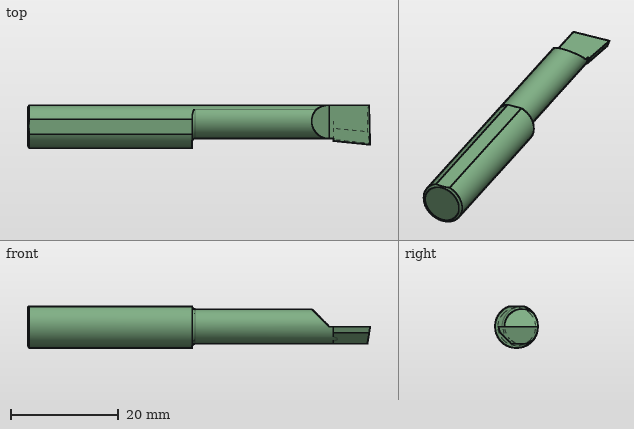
import cadquery as cq
import math

LENGTH = 63.5

SHANK_RADIUS = 4.0
SHANK_LENGTH = 30.5
FLAT_HEIGHT = 3.75
REAR_CHAMFER_LENGTH = 0.3
REAR_CHAMFER_DEPTH = 0.5

NECK_RADIUS = 3.25
NECK_OFFSET = 1.0
ROOT_FILLET = 0.5

BEVEL_END = 55.9
EDGE_START = 56.65
EDGE_START_Y = -2.65
TIP_Y = -3.35
FRONT_SLANT = 0.2
CLEARANCE_DEPTH = 1.15
CLEARANCE_SETBACK = 0.3
END_RELIEF_ANGLE = 8.0

BEVEL_RISE = NECK_RADIUS + ROOT_FILLET


def rod(radius, start, length, offset=0.0):
    """Round bar along +X with its axis shifted along Y."""
    return cq.Workplane("YZ", origin=(start, offset, 0)).circle(radius).extrude(length)


def make_shank():
    profile = (
        cq.Workplane("XY")
        .moveTo(0, 0)
        .lineTo(0, SHANK_RADIUS - REAR_CHAMFER_DEPTH)
        .lineTo(REAR_CHAMFER_LENGTH, SHANK_RADIUS)
        .lineTo(SHANK_LENGTH, SHANK_RADIUS)
        .lineTo(SHANK_LENGTH, 0)
        .close()
    )
    shank = profile.revolve(360, (0, 0, 0), (1, 0, 0))
    above_flat = cq.Workplane("XY", origin=(SHANK_LENGTH / 2, 0, FLAT_HEIGHT)).box(
        SHANK_LENGTH, 2 * SHANK_RADIUS, SHANK_RADIUS, centered=(True, True, False)
    )
    return shank.cut(above_flat)


def make_neck():
    """Eccentric neck with a concave root fillet, running to the tip."""
    arc_inset = ROOT_FILLET * (1 - math.sqrt(0.5))
    profile = (
        cq.Workplane("XY", origin=(SHANK_LENGTH, NECK_OFFSET, 0))
        .moveTo(0, 0)
        .lineTo(0, NECK_RADIUS + ROOT_FILLET)
        .threePointArc((arc_inset, NECK_RADIUS + arc_inset), (ROOT_FILLET, NECK_RADIUS))
        .lineTo(LENGTH - SHANK_LENGTH, NECK_RADIUS)
        .lineTo(LENGTH - SHANK_LENGTH, 0)
        .close()
    )
    neck = profile.revolve(360, (0, 0, 0), (1, 0, 0))
    return neck.intersect(rod(SHANK_RADIUS, SHANK_LENGTH, LENGTH - SHANK_LENGTH))


def edge_section(x, edge_y):
    """Nose section at x: steep primary clearance, then 45 degrees to the underside."""
    clearance_y = edge_y + CLEARANCE_SETBACK
    underside_y = clearance_y + NECK_RADIUS - CLEARANCE_DEPTH
    return [
        (x, NECK_OFFSET, 0),
        (x, edge_y, 0),
        (x, clearance_y, -CLEARANCE_DEPTH),
        (x, underside_y, -NECK_RADIUS),
        (x, NECK_OFFSET, -NECK_RADIUS),
    ]


def make_nose():
    """Wedge that widens the head towards the cutting tip."""
    start = cq.Wire.makePolygon([cq.Vector(*p) for p in edge_section(EDGE_START, EDGE_START_Y)], close=True)
    end = cq.Wire.makePolygon([cq.Vector(*p) for p in edge_section(LENGTH, TIP_Y)], close=True)
    return cq.Workplane("XY").add(cq.Solid.makeLoft([start, end], True))


def make_bevel_cutter():
    """Everything above the rake face and the 45 degree bevel."""
    return (
        cq.Workplane("XZ")
        .moveTo(BEVEL_END, 0)
        .lineTo(LENGTH, 0)
        .lineTo(LENGTH, BEVEL_RISE)
        .lineTo(BEVEL_END - BEVEL_RISE, BEVEL_RISE)
        .close()
        .extrude(2 * SHANK_RADIUS, both=True)
    )


def make_end_envelope():
    """Plan outline of the slanted end, drafted inwards below the rake face."""
    reach = 2 * SHANK_RADIUS
    slope = FRONT_SLANT / (SHANK_RADIUS - TIP_Y)
    drop = reach * math.tan(math.radians(END_RELIEF_ANGLE))

    def outline(z, setback):
        tip_x = LENGTH - setback
        points = [
            (0, -reach, z),
            (tip_x + slope * (reach + TIP_Y), -reach, z),
            (tip_x - slope * (reach - TIP_Y), reach, z),
            (0, reach, z),
        ]
        return cq.Wire.makePolygon([cq.Vector(*p) for p in points], close=True)

    return cq.Workplane("XY").add(cq.Solid.makeLoft([outline(-reach, drop), outline(reach, -drop)], True))


bar = make_neck().union(make_nose())
bar = bar.cut(make_bevel_cutter()).intersect(make_end_envelope())
result = make_shank().union(bar)